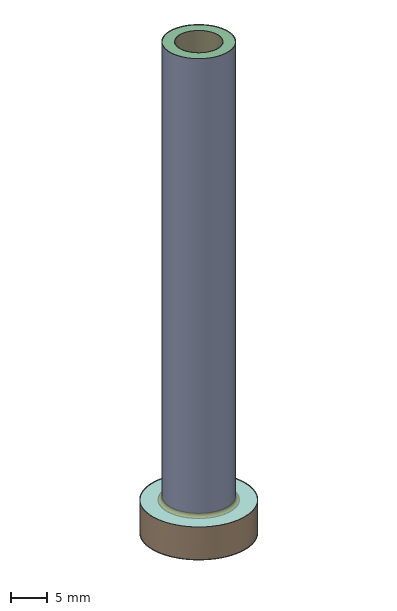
import cadquery as cq

total_length = 75.0
head_diameter = 16.0
head_height = 5.0
shaft_diameter = 10.0
bore_diameter = 6.5
neck_fillet = 0.5

shaft_radius = shaft_diameter / 2
neck_radius = shaft_radius + neck_fillet
neck_top = head_height + neck_fillet

half_section = (
    cq.Workplane("XZ")
    .moveTo(bore_diameter / 2, 0)
    .lineTo(head_diameter / 2, 0)
    .lineTo(head_diameter / 2, head_height)
    .lineTo(neck_radius, head_height)
    .radiusArc((shaft_radius, neck_top), neck_fillet)
    .lineTo(shaft_radius, total_length)
    .lineTo(bore_diameter / 2, total_length)
    .close()
)

result = half_section.revolve(360, (0, 0, 0), (0, 1, 0))